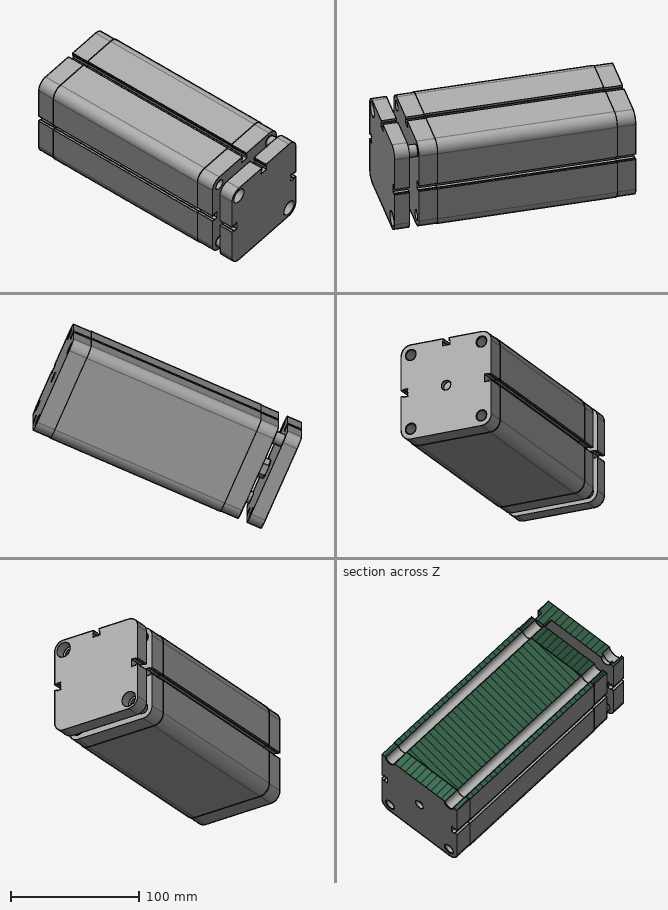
import cadquery as cq

OVERALL_LENGTH = 194.5
CAP_LENGTH = 15.0
PLATE_THICKNESS = 12.0
PLATE_GAP = 7.5
PLATE_X = OVERALL_LENGTH - PLATE_THICKNESS
CYLINDER_LENGTH = PLATE_X - PLATE_GAP
BARREL_LENGTH = CYLINDER_LENGTH - 2 * CAP_LENGTH
FRONT_CAP_X = CAP_LENGTH + BARREL_LENGTH

BARREL_WIDTH = 80.0
STEP_INSET = 0.4
CAP_WIDTH = BARREL_WIDTH - 2 * STEP_INSET
BORE_SPACING = 62.0

SLOT_NECK_WIDTH = 5.3
SLOT_NECK_DEPTH = 2.3
SLOT_FOOT_WIDTH = 6.5
SLOT_DEPTH = 5.8
SLOT_ANGLES = (-90, 0, 90)

BORE_DIAMETER = 8.5
BORE_MOUTH_CHAMFER = 0.4
PLATE_BORE_NECK_LENGTH = 3.3
PLATE_COUNTERBORE_DIAMETER = 12.6

CENTRE_HOLE_DIAMETER = 8.2
CENTRE_HOLE_DEPTH = 4.0

ROD_DIAMETER = 16.0
ROD_ACROSS_FLATS = 13.5
ROD_COLLAR_LENGTH = 1.5
ROD_END_CHAMFER = 0.5

GUIDE_ROD_DIAMETER = 10.0

BORE_OFFSET = BORE_SPACING / 2
BORE_CENTRES = [(y, z) for y in (-BORE_OFFSET, BORE_OFFSET) for z in (-BORE_OFFSET, BORE_OFFSET)]
GUIDE_ROD_CENTRES = [(y, z) for y, z in BORE_CENTRES if y == z]
OPEN_BORE_CENTRES = [(y, z) for y, z in BORE_CENTRES if y != z]


def section_plane(x):
    """YZ workplane at the given X, facing +X."""
    return cq.Workplane("YZ", origin=(x, 0, 0))


def top_slot(x, length, top_z):
    """T-shaped bar that cuts a slot down from top_z."""
    foot_height = SLOT_DEPTH - SLOT_NECK_DEPTH
    foot_z = top_z - SLOT_NECK_DEPTH - foot_height / 2
    neck_z = top_z - SLOT_NECK_DEPTH / 2
    neck = section_plane(x).center(0, neck_z).rect(SLOT_NECK_WIDTH, SLOT_NECK_DEPTH).extrude(length)
    foot = section_plane(x).center(0, foot_z).rect(SLOT_FOOT_WIDTH, foot_height).extrude(length)
    return neck.union(foot)


def slotted_block(x, length, width):
    """Square block with rounded long edges and three T-slots, starting at x."""
    corner_radius = (width - BORE_SPACING) / 2
    block = section_plane(x).rect(width, width).extrude(length).edges("|X").fillet(corner_radius)
    slot = top_slot(x, length, width / 2)
    for angle in SLOT_ANGLES:
        block = block.cut(slot.rotate((0, 0, 0), (1, 0, 0), angle))
    return block


def cylinders(x, length, diameter, centres):
    """Equal cylinders along X, starting at x."""
    return section_plane(x).pushPoints(centres).circle(diameter / 2).extrude(length)


def make_rear_cap():
    cap = slotted_block(0, CAP_LENGTH, CAP_WIDTH)
    cap = cap.cut(cylinders(0, CAP_LENGTH, BORE_DIAMETER, BORE_CENTRES))
    cap = cap.faces("<X").edges(cq.selectors.RadiusNthSelector(0)).chamfer(BORE_MOUTH_CHAMFER)
    return cap.cut(cylinders(0, CENTRE_HOLE_DEPTH, CENTRE_HOLE_DIAMETER, [(0, 0)]))


def make_barrel():
    barrel = slotted_block(CAP_LENGTH, BARREL_LENGTH, BARREL_WIDTH)
    return barrel.cut(cylinders(CAP_LENGTH, BARREL_LENGTH, BORE_DIAMETER, BORE_CENTRES))


def make_front_cap():
    cap = slotted_block(FRONT_CAP_X, CAP_LENGTH, CAP_WIDTH)
    return cap.cut(cylinders(FRONT_CAP_X, CAP_LENGTH, BORE_DIAMETER, BORE_CENTRES))


def make_piston_rod():
    """Rod between front cap and plate, with flats above and below."""
    rod = section_plane(CYLINDER_LENGTH).circle(ROD_DIAMETER / 2).extrude(PLATE_GAP)
    rod = rod.faces(">X").chamfer(ROD_END_CHAMFER)
    collar = section_plane(CYLINDER_LENGTH).circle(ROD_DIAMETER / 2).extrude(ROD_COLLAR_LENGTH)
    flats = section_plane(CYLINDER_LENGTH).rect(ROD_DIAMETER, ROD_ACROSS_FLATS).extrude(PLATE_GAP)
    return rod.intersect(flats.union(collar))


def make_yoke_plate():
    """Plate with two guide rods that reach back to the front cap."""
    plate = slotted_block(PLATE_X, PLATE_THICKNESS, CAP_WIDTH)
    plate = plate.cut(cylinders(PLATE_X, PLATE_THICKNESS, BORE_DIAMETER, OPEN_BORE_CENTRES))
    wide_x = PLATE_X + PLATE_BORE_NECK_LENGTH
    wide_length = PLATE_THICKNESS - PLATE_BORE_NECK_LENGTH
    plate = plate.cut(cylinders(wide_x, wide_length, PLATE_COUNTERBORE_DIAMETER, OPEN_BORE_CENTRES))
    return plate.union(cylinders(CYLINDER_LENGTH, PLATE_GAP, GUIDE_ROD_DIAMETER, GUIDE_ROD_CENTRES))


rear_cap = make_rear_cap()
barrel = make_barrel()
front_cap = make_front_cap()
piston_rod = make_piston_rod()
yoke_plate = make_yoke_plate()

bodies = [rear_cap, barrel, front_cap, piston_rod, yoke_plate]
result = cq.Compound.makeCompound([body.solids().val() for body in bodies])